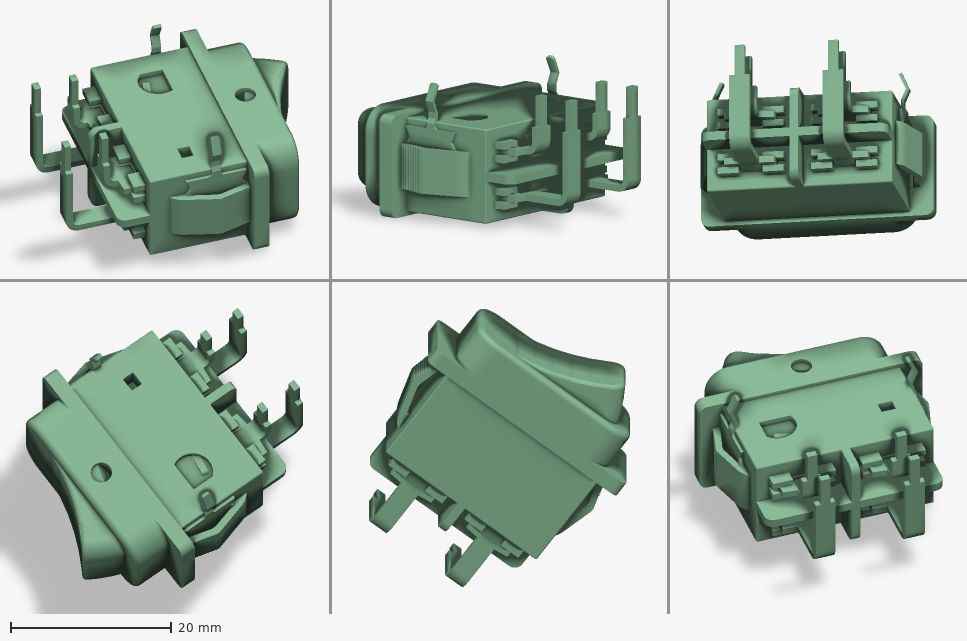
import cadquery as cq


overall_height = 17.38
overlap = 0.35

flange_width, flange_height, flange_thickness = 29.48, 13.05, 1.95
flange_corner_radius = 1.05
bezel_width, bezel_front = 23.7, 7.0
bezel_corner_radius, bezel_rim_radius = 3.22, 0.7
housing_width, housing_height, housing_depth = 23.5, 12.0, 12.77
housing_edge_radius = 0.2
half_width = housing_width / 2

rib_thickness, rib_back, rib_corner_radius = 1.12, 16.85, 1.2

rocker_height, rocker_root = 10.15, 4.05
rocker_end_radius, rocker_rim_radius = 2.03, 0.5
rocker_tip = (-7.18, 11.85)
rocker_end_middle = (-8.85, 8.88)
rocker_end_foot = (-10.2, rocker_root)
rocker_face_middle = (-2.03, 9.08)
rocker_face_end = (6.78, 6.95)

pivot_y, pivot_diameter, pivot_depth = 3.7, 2.65, 0.65
pivot_ramp_tilt, pivot_ramp_depth = -16.5, 2.7
window_x, window_y, window_radius = -6.57, -5.62, 2.55
window_left, window_top, window_depth = -8.47, -4.37, 0.88
lever_length, lever_width, lever_height = 3.4, 0.88, 0.5
lever_tilt, lever_slope, lever_end_radius = -9.5, 8.0, 0.45
lever_left = (-7.55, -6.95)
square_x, square_y, square_length, square_width, square_depth = 7.62, -6.7, 1.9, 1.55, 3.4

terminal_x, terminal_z, terminal_thickness = 5.93, 2.95, 0.85
contact_width, contact_back, contact_taper = 6.37, 15.28, 0.2
recess_width, recess_depth = 6.78, 0.2
guide_inner, guide_outer, guide_back = 1.52, 4.17, 14.33
guide_gap, guide_thickness = 0.88, 0.85
tongue_front, tongue_back, tongue_drop = 13.0, 14.9, 0.4
pin_width, pin_tip_width = 2.57, 1.25
pin_shoulder_z, pin_top_z = 6.1, 10.0
pin_bend_radius = 0.78
upper_pin_back, lower_pin_back = 17.3, 22.23

latch_height, latch_wall = 5.65, 0.9
latch_root_x, latch_crest_x = 13.05, 14.03
crest_start, crest_end = -3.83, -4.37
latch_tail_x, latch_tail_y, latch_end_y = 12.8, -8.67, -10.15
latch_tail_middle = (12.45, -9.45)
gap_root_x, gap_start, gap_end = 12.13, -0.25, -7.85
teeth, tooth_start, tooth_depth = 10, -0.37, 0.085

clip_thickness, clip_y, clip_top_z = 0.4, -4.15, 5.05
clip_half_length, clip_neck_half_length, clip_neck_z = 3.95, 3.35, 3.7
tab_width, tab_flare = 1.15, 0.47
tab_end_radius = 0.35
tab_joggle_bottom, tab_joggle_top, tab_inner_x = 5.8, 6.4, 11.42
tab_knee_z, tab_elbow_z = 7.18, 8.65
tab_end_z = overall_height - flange_height / 2
tab_elbow_x, tab_end_x = 12.25, 11.5
ear_thickness = 0.47


def centered_box(width, height, y_back, y_front):
    """Box centred on X and Z between two Y planes."""
    depth = y_front - y_back
    return cq.Workplane("XY").box(width, depth, height).translate((0, y_back + depth / 2, 0))


def z_prism(sketch, height):
    """Extrude a closed XY outline symmetrically about Z = 0."""
    return sketch.close().extrude(height / 2, both=True)


def make_housing():
    flange = centered_box(flange_width, flange_height, 0, flange_thickness)
    flange = flange.edges("|Y").fillet(flange_corner_radius)
    bezel = centered_box(bezel_width, flange_height, 0, bezel_front)
    bezel = bezel.edges("|Y").fillet(bezel_corner_radius)
    bezel = bezel.faces(">Y").edges().fillet(bezel_rim_radius)
    housing = centered_box(housing_width, housing_height, -housing_depth, flange_thickness)
    housing = housing.edges("|Y or <Y").fillet(housing_edge_radius)
    flat_rib = centered_box(housing_width, rib_thickness, -rib_back, 0)
    flat_rib = flat_rib.edges("|Z and <Y").fillet(rib_corner_radius)
    upright_rib = centered_box(rib_thickness, housing_height, -rib_back, 0)
    upright_rib = upright_rib.edges("|X and <Y").fillet(rib_corner_radius)
    return flange.union(bezel).union(housing).union(flat_rib).union(upright_rib)


def make_rocker():
    sketch = (
        cq.Workplane("XY")
        .moveTo(*rocker_end_foot)
        .threePointArc(rocker_end_middle, rocker_tip)
        .threePointArc(rocker_face_middle, rocker_face_end)
        .lineTo(rocker_face_end[0], rocker_root)
    )
    rocker = z_prism(sketch, rocker_height)
    for side in (-1, 1):
        end_edge = cq.selectors.NearestToPointSelector((*rocker_end_middle, side * rocker_height / 2))
        rocker = rocker.edges(end_edge).fillet(rocker_end_radius)
    pressed_face = cq.selectors.NearestToPointSelector((*rocker_face_middle, 0))
    return rocker.faces(pressed_face).edges("not >X").fillet(rocker_rim_radius)


def make_pivot_hole():
    """Blind round hole whose floor drops along a slanted line toward -Y."""
    bezel_top = flange_height / 2
    hole = cq.Workplane("XY").circle(pivot_diameter / 2).extrude(-pivot_depth - pivot_ramp_depth)
    floor = (
        cq.Workplane("YZ")
        .moveTo(pivot_diameter, -pivot_depth)
        .lineTo(0, -pivot_depth)
        .lineTo(-pivot_ramp_depth / 2, -pivot_depth - pivot_ramp_depth)
        .lineTo(pivot_diameter, -pivot_depth - pivot_ramp_depth)
        .close()
        .extrude(pivot_diameter, both=True)
        .rotate((0, 0, 0), (0, 0, 1), pivot_ramp_tilt)
    )
    return hole.cut(floor).translate((0, pivot_y, bezel_top))


def make_window():
    """D-shaped pocket with a round-ended lever that slopes down into its floor."""
    top = housing_height / 2
    side = 2 * window_radius
    pocket = cq.Workplane("XY").center(window_x, window_y).circle(window_radius).extrude(-window_depth)
    bounds = (
        cq.Workplane("XY")
        .box(side, side, side)
        .translate((window_left + side / 2, window_top - side / 2, 0))
    )
    corner = (
        cq.Workplane("XY")
        .moveTo(window_left, window_top)
        .lineTo(window_x, window_top)
        .lineTo(window_x, window_y)
        .lineTo(window_left, window_y)
        .close()
        .extrude(-window_depth)
    )
    lever = (
        cq.Workplane("XY")
        .box(lever_length, lever_width, lever_height, centered=(False, True, False))
        .edges("|Y and <X and >Z")
        .fillet(lever_end_radius)
        .rotate((0, 0, 0), (0, 1, 0), lever_slope)
        .rotate((0, 0, 0), (0, 0, 1), lever_tilt)
        .translate((*lever_left, -window_depth))
    )
    return pocket.intersect(bounds).union(corner).cut(lever).translate((0, 0, top))


def make_square_pocket():
    return (
        cq.Workplane("XY", origin=(square_x, square_y, housing_height / 2))
        .rect(square_length, square_width)
        .extrude(-square_depth)
    )


def make_pin(z_center, pin_back):
    """Flat strip leaving the housing along -Y, then bent up along +Z to a narrow tip."""
    bottom = z_center - terminal_thickness / 2
    outer_radius = pin_bend_radius + terminal_thickness
    strip = (
        cq.Workplane("YZ")
        .moveTo(-housing_depth, bottom)
        .lineTo(-pin_back, bottom)
        .lineTo(-pin_back, pin_top_z)
        .lineTo(-pin_back + terminal_thickness, pin_top_z)
        .lineTo(-pin_back + terminal_thickness, bottom + terminal_thickness)
        .lineTo(-housing_depth, bottom + terminal_thickness)
        .close()
        .extrude(pin_width / 2, both=True)
    )
    inner_corner = (0, -pin_back + terminal_thickness, bottom + terminal_thickness)
    strip = strip.edges(cq.selectors.NearestToPointSelector(inner_corner)).fillet(pin_bend_radius)
    strip = strip.edges("|X and <Y and <Z").fillet(outer_radius)
    shoulder_cut = (
        cq.Workplane("XY", origin=(0, -pin_back, pin_shoulder_z))
        .rect(2 * pin_width, 2 * pin_width)
        .rect(pin_tip_width, 2 * pin_width)
        .extrude(pin_top_z)
    )
    return strip.cut(shoulder_cut)


def make_tongue_wedge(z_face):
    """Wedge under a blade face that deepens toward +Y."""
    return (
        cq.Workplane("YZ")
        .moveTo(-tongue_back, z_face)
        .lineTo(-tongue_front, z_face - tongue_drop)
        .lineTo(-tongue_front, z_face)
        .close()
        .extrude(pin_width / 2, both=True)
    )


def make_terminal(z_center, pin_back):
    """Wide contact blade with a pointed back, a pin, and a tongue pressed down through the blade."""
    half = contact_width / 2
    back_half = pin_width / 2
    blade = (
        cq.Workplane("XY", origin=(0, 0, z_center - terminal_thickness / 2))
        .moveTo(-half, -housing_depth + overlap)
        .lineTo(-half, -contact_back)
        .lineTo(-back_half, -contact_back - contact_taper)
        .lineTo(back_half, -contact_back - contact_taper)
        .lineTo(half, -contact_back)
        .lineTo(half, -housing_depth + overlap)
        .close()
        .extrude(terminal_thickness)
    )
    top = z_center + terminal_thickness / 2
    hollow = make_tongue_wedge(top)
    bulge = make_tongue_wedge(top - terminal_thickness)
    return blade.union(make_pin(z_center, pin_back)).cut(hollow).union(bulge)


def make_recess(z_center):
    return (
        cq.Workplane("XZ", origin=(0, -housing_depth, z_center))
        .rect(recess_width, terminal_thickness)
        .extrude(-recess_depth)
    )


def make_guides(z_center):
    """Four small blocks framing a contact on the back of the housing."""
    x_step = (guide_inner + guide_outer) / 2
    z_step = (guide_gap + guide_thickness) / 2
    corners = [(sx * x_step, sz * z_step) for sx in (-1, 1) for sz in (-1, 1)]
    return (
        cq.Workplane("XZ", origin=(0, -housing_depth + overlap, z_center))
        .pushPoints(corners)
        .rect(guide_outer - guide_inner, guide_thickness)
        .extrude(guide_back - housing_depth + overlap)
    )


def make_latch():
    """Bowed latch on the +X side, with fine teeth on its front leg."""
    tooth_run = (tooth_start - crest_start) / teeth
    slope = (latch_crest_x - latch_root_x) / -crest_start
    sketch = cq.Workplane("XY").moveTo(half_width - overlap, 0).lineTo(latch_root_x, 0)
    for i in range(teeth):
        crest_y = tooth_start - i * tooth_run
        root_y = crest_y - tooth_run / 2
        sketch = sketch.lineTo(latch_root_x - slope * crest_y, crest_y)
        sketch = sketch.lineTo(latch_root_x - slope * root_y - tooth_depth, root_y)
    sketch = (
        sketch.lineTo(latch_crest_x, crest_start)
        .lineTo(latch_crest_x, crest_end)
        .lineTo(latch_tail_x, latch_tail_y)
        .threePointArc(latch_tail_middle, (half_width, latch_end_y))
        .lineTo(half_width - overlap, latch_end_y)
    )
    gap = (
        cq.Workplane("XY")
        .moveTo(half_width, gap_start)
        .lineTo(gap_root_x, gap_start)
        .lineTo(latch_crest_x - latch_wall, crest_start)
        .lineTo(latch_crest_x - latch_wall, crest_end)
        .lineTo(gap_root_x, gap_end)
        .lineTo(half_width, gap_end)
    )
    return z_prism(sketch, latch_height).cut(z_prism(gap, latch_height))


def make_clip():
    """Spring plate on the +X side with a bent tab rising above the housing."""
    plate_outer_x = half_width + clip_thickness
    tab_half = tab_width / 2
    tab_base_z = clip_top_z + tab_flare
    flare_half = tab_half + tab_flare
    plate = (
        cq.Workplane("YZ", origin=(half_width - overlap, clip_y, 0))
        .moveTo(-clip_neck_half_length, 0)
        .lineTo(-clip_neck_half_length, clip_neck_z)
        .lineTo(-clip_half_length, clip_top_z)
        .lineTo(-flare_half, clip_top_z)
        .radiusArc((-tab_half, tab_base_z), -tab_flare)
        .lineTo(-tab_half, tab_joggle_bottom)
        .lineTo(tab_half, tab_joggle_bottom)
        .lineTo(tab_half, tab_base_z)
        .radiusArc((flare_half, clip_top_z), -tab_flare)
        .lineTo(clip_half_length, clip_top_z)
        .lineTo(clip_neck_half_length, clip_neck_z)
        .lineTo(clip_neck_half_length, 0)
        .close()
        .extrude(clip_thickness + overlap)
    )
    inner_side = [
        (half_width, tab_joggle_bottom),
        (tab_inner_x, tab_joggle_top),
        (tab_inner_x, tab_knee_z),
        (tab_elbow_x - clip_thickness / 2, tab_elbow_z),
        (tab_end_x - clip_thickness, tab_end_z - clip_thickness / 2),
    ]
    outer_side = [
        (tab_end_x, tab_end_z),
        (tab_elbow_x + clip_thickness / 2, tab_elbow_z),
        (tab_inner_x + clip_thickness, tab_knee_z),
        (tab_inner_x + clip_thickness, tab_joggle_top),
        (plate_outer_x, tab_joggle_bottom),
    ]
    tab = (
        cq.Workplane("XZ", origin=(0, clip_y, 0))
        .polyline(inner_side + outer_side)
        .close()
        .extrude(tab_half, both=True)
    )
    for edge_y in (clip_y - tab_half, clip_y + tab_half):
        end_edge = cq.selectors.NearestToPointSelector((tab_end_x - clip_thickness / 2, edge_y, tab_end_z))
        tab = tab.edges(end_edge).fillet(tab_end_radius)
    ears = cq.Workplane("YZ", origin=(half_width, clip_y, 0))
    for side in (-1, 1):
        ears = (
            ears.moveTo(side * clip_neck_half_length, clip_neck_z)
            .lineTo(side * clip_neck_half_length, latch_height / 2)
            .lineTo(side * clip_half_length, latch_height / 2)
            .close()
        )
    return plate.union(tab).union(ears.extrude(ear_thickness))


body = make_housing().union(make_rocker())
body = body.cut(make_pivot_hole()).cut(make_window()).cut(make_square_pocket())

for column_x in (-terminal_x, terminal_x):
    for row_z, pin_back in ((terminal_z, upper_pin_back), (-terminal_z, lower_pin_back)):
        place = (column_x, 0, 0)
        body = body.cut(make_recess(row_z).translate(place))
        body = body.union(make_terminal(row_z, pin_back).translate(place))
        body = body.union(make_guides(row_z).translate(place))

side_hardware = make_latch().union(make_clip())
result = body.union(side_hardware).union(side_hardware.mirror("YZ"))